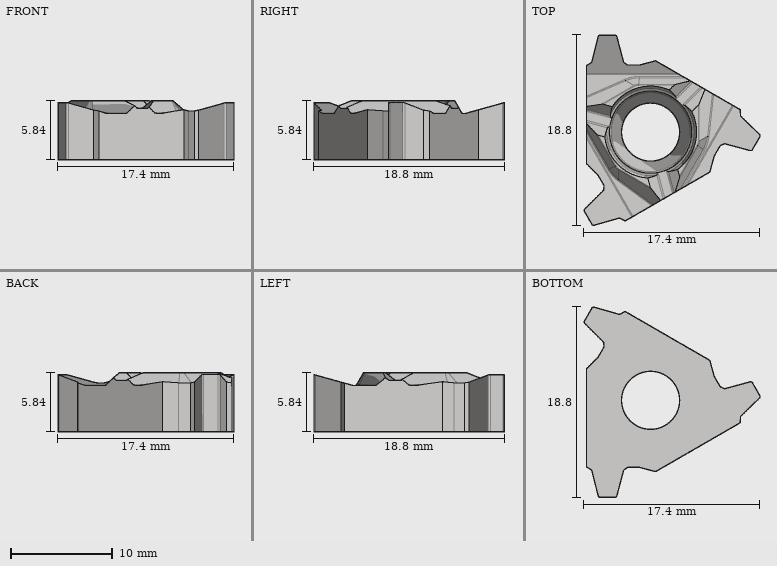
import cadquery as cq
import math

TEETH = 3
PITCH_ANGLE = 360 / TEETH
HOLE_AXIS = ((0, 0, 0), (0, 0, 1))
OVERSIZE = 22.52

SEAT_HEIGHT = 5.84
TIP_HEIGHT = 5.65
FLOOR_HEIGHT = 4.58
GROOVE_HEIGHT = 5.05

FLANK_DISTANCE = 6.35
TIP_Y = 9.57
TIP_LEFT = -5.15
TIP_RIGHT = -3.36
ROOT_LEFT = -5.82
ROOT_RIGHT = -2.65
ROOT_Y = 6.89
SHOULDER_LEFT_Y = 6.57
SHOULDER_RIGHT_Y = 6.63
SHOULDER_START = -2.27
SHOULDER_END = -1.09
HEEL_X = 0.49
TIP_RADIUS = 0.23

RAKE_FOOT_Y = 5.72
RAKE_FILLET = 0.43

PLATEAU_PLAIN_DISTANCE = 4.7
PLATEAU_SLANT_DISTANCE = 4.77
PLATEAU_SLANT = 30.0
PLATEAU_RADIUS = 0.85
FOOT_PLAIN_DISTANCE = 5.4
FOOT_SLANT_DISTANCE = 5.69
FOOT_SLANT = 23.5
FOOT_RADIUS = 3.57
FOOT_FILLET = 0.17
PLATEAU_EDGE_RADIUS = 0.1

GROOVE_ANGLE = 45.0
GROOVE_FLOOR_WIDTH = 1.05
GROOVE_TOP_WIDTH = 3.08
GROOVE_OFFSET = 0.1
GROOVE_FILLET = 0.28

BORE_RADIUS = 5.7 / 2
BOWL_BOTTOM = 2.08
BOWL_TOP = 4.88
BOWL_RADIUS = 3.9
BOWL_BULGE = 0.08
LEDGE_INNER_RADIUS = 4.05
LEDGE_OUTER_RADIUS = 4.26
LEDGE_FILLET = 0.17
LEDGE_HEIGHT = GROOVE_HEIGHT
RECESS_RADIUS = 4.55


def turned(point, degrees):
    """Rotate an (x, y) point about the centre."""
    a = math.radians(degrees)
    x, y = point
    return (x * math.cos(a) - y * math.sin(a), x * math.sin(a) + y * math.cos(a))


def moved(point, distance, angle):
    """Shift an (x, y) point by a distance along a direction."""
    dx, dy = turned((distance, 0), angle)
    return (point[0] + dx, point[1] + dy)


def crossing(distance_1, angle_1, distance_2, angle_2):
    """Crossing of two lines, each given by its distance and normal angle."""
    a = math.radians(angle_1)
    b = math.radians(angle_2)
    scale = math.sin(b - a)
    x = (distance_1 * math.sin(b) - distance_2 * math.sin(a)) / scale
    y = (distance_2 * math.cos(a) - distance_1 * math.cos(b)) / scale
    return (x, y)


def outline_body():
    """Upright prism of the three teeth and the long sides between them."""
    facing = math.radians(PITCH_ANGLE / 2)
    heel_y = (FLANK_DISTANCE - HEEL_X * math.cos(facing)) / math.sin(facing)
    tip_corners = [(TIP_LEFT, TIP_Y), (TIP_RIGHT, TIP_Y)]
    tooth = [
        (-FLANK_DISTANCE, SHOULDER_LEFT_Y),
        (ROOT_LEFT, ROOT_Y),
        *tip_corners,
        (ROOT_RIGHT, ROOT_Y),
        (SHOULDER_START, SHOULDER_RIGHT_Y),
        (SHOULDER_END, SHOULDER_RIGHT_Y),
        (HEEL_X, heel_y),
    ]
    turns = [-PITCH_ANGLE * i for i in range(TEETH)]
    points = [turned(point, turn) for turn in turns for point in tooth]
    body = cq.Workplane("XY").polyline(points).close().extrude(SEAT_HEIGHT)
    for turn in turns:
        for corner in tip_corners:
            x, y = turned(corner, turn)
            tip_edge = cq.selectors.NearestToPointSelector((x, y, SEAT_HEIGHT / 2))
            body = body.edges("|Z").edges(tip_edge).fillet(TIP_RADIUS)
    return body


def wall_outline(height, plain_distance, slant_distance, slant, radius):
    """Closed wire of plain and slanted walls, rounded where the two meet on a side."""
    half_slant = math.radians(slant / 2)
    run = radius * math.tan(half_slant)
    bow = radius / math.cos(half_slant) - radius
    start = crossing(slant_distance, 90 + slant - PITCH_ANGLE, plain_distance, 90)
    path = cq.Workplane("XY").workplane(offset=height).moveTo(*start)
    for i in range(TEETH):
        plain = 90 + i * PITCH_ANGLE
        slanted = plain + slant
        bend = crossing(plain_distance, plain, slant_distance, slanted)
        arc_start = moved(bend, -run, plain + 90)
        arc_mid = moved(bend, -bow, plain + slant / 2)
        arc_end = moved(bend, run, slanted + 90)
        path = path.lineTo(*arc_start).threePointArc(arc_mid, arc_end)
        if i < TEETH - 1:
            path = path.lineTo(*crossing(slant_distance, slanted, plain_distance, plain + PITCH_ANGLE))
    return path.close().val()


def plateau():
    """Chip floor with the raised plateau standing on it."""
    foot = wall_outline(
        FLOOR_HEIGHT, FOOT_PLAIN_DISTANCE, FOOT_SLANT_DISTANCE, FOOT_SLANT, FOOT_RADIUS
    )
    top = wall_outline(
        SEAT_HEIGHT,
        PLATEAU_PLAIN_DISTANCE,
        PLATEAU_SLANT_DISTANCE,
        PLATEAU_SLANT,
        PLATEAU_RADIUS,
    )
    island = cq.Workplane(obj=cq.Solid.makeLoft([foot, top], True))
    island = island.faces(">Z").edges().fillet(PLATEAU_EDGE_RADIUS)
    base = cq.Workplane("XY").circle(OVERSIZE).extrude(FLOOR_HEIGHT)
    blank = base.union(island)
    reach = OVERSIZE / 2
    foot_edges = cq.selectors.BoxSelector(
        (-reach, -reach, FLOOR_HEIGHT - FOOT_FILLET),
        (reach, reach, FLOOR_HEIGHT + FOOT_FILLET),
    )
    return blank.edges(foot_edges).fillet(FOOT_FILLET)


def rake_wedge():
    """Wedge under the rake face of the +Y tooth."""
    rise = (TIP_HEIGHT - FLOOR_HEIGHT) / (TIP_Y - RAKE_FOOT_Y)
    far_height = FLOOR_HEIGHT + rise * (OVERSIZE - RAKE_FOOT_Y)
    near_y = RAKE_FOOT_Y - RAKE_FILLET
    wedge = (
        cq.Workplane("YZ")
        .polyline([
            (near_y, 0),
            (near_y, FLOOR_HEIGHT),
            (RAKE_FOOT_Y, FLOOR_HEIGHT),
            (OVERSIZE, far_height),
            (OVERSIZE, 0),
        ])
        .close()
        .extrude(FLANK_DISTANCE * 2, both=True)
    )
    foot = cq.selectors.NearestToPointSelector((0, RAKE_FOOT_Y, FLOOR_HEIGHT))
    return wedge.edges("|X").edges(foot).fillet(RAKE_FILLET)


def groove_cutter():
    """Flared channel running outward from the hole axis."""
    wall_run = (GROOVE_TOP_WIDTH - GROOVE_FLOOR_WIDTH) / 2
    depth = SEAT_HEIGHT - GROOVE_HEIGHT
    top = GROOVE_HEIGHT + 2 * depth
    half_floor = GROOVE_FLOOR_WIDTH / 2
    half_top = half_floor + 2 * wall_run
    cutter = (
        cq.Workplane("YZ")
        .polyline([
            (-half_floor, GROOVE_HEIGHT),
            (half_floor, GROOVE_HEIGHT),
            (half_top, top),
            (-half_top, top),
        ])
        .close()
        .extrude(OVERSIZE)
        .faces("<Z")
        .edges("|X")
        .fillet(GROOVE_FILLET)
    )
    cutter = cutter.translate((0, GROOVE_OFFSET, 0))
    return cutter.rotate(*HOLE_AXIS, GROOVE_ANGLE)


def screw_hole():
    """Bore, bowl-shaped screw seat, ledge and recess as one turned cutter."""
    bowl_middle = (
        (BORE_RADIUS + BOWL_RADIUS) / 2 - BOWL_BULGE,
        (BOWL_BOTTOM + BOWL_TOP) / 2,
    )
    hole = (
        cq.Workplane("XZ")
        .lineTo(BORE_RADIUS, 0)
        .lineTo(BORE_RADIUS, BOWL_BOTTOM)
        .threePointArc(bowl_middle, (BOWL_RADIUS, BOWL_TOP))
        .lineTo(LEDGE_INNER_RADIUS, LEDGE_HEIGHT)
        .lineTo(LEDGE_OUTER_RADIUS, LEDGE_HEIGHT)
        .lineTo(RECESS_RADIUS, SEAT_HEIGHT)
        .lineTo(0, SEAT_HEIGHT)
        .close()
        .revolve(360, (0, 0, 0), (0, 1, 0))
    )
    ledge_corner = cq.selectors.RadiusNthSelector(-3)
    return hole.edges("%CIRCLE").edges(ledge_corner).fillet(LEDGE_FILLET)


top_form = plateau()
for i in range(TEETH):
    turn = i * PITCH_ANGLE
    top_form = top_form.cut(groove_cutter().rotate(*HOLE_AXIS, turn))
    top_form = top_form.union(rake_wedge().rotate(*HOLE_AXIS, turn))

result = outline_body().intersect(top_form).cut(screw_hole())